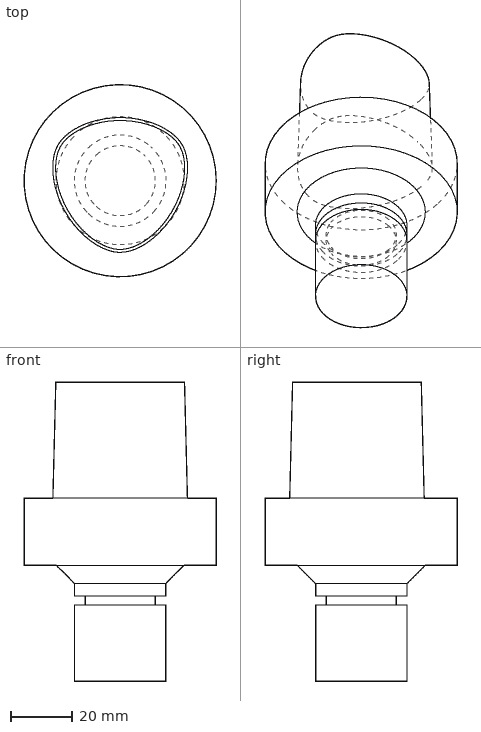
import cadquery as cq
import math

total_length = 98.0
shank_length = 38.0
flange_thickness = 22.0
cone_height = 6.0
collar_height = 4.1
groove_width = 2.9

flange_diameter = 63.0
pin_diameter = 30.0
groove_diameter = 23.0
cone_top_diameter = pin_diameter + 2 * cone_height

gauge_width = 44.0
gauge_height = 3.0
shank_taper = 1 / 20
lobe_rise = 1.4
outline_points = 24

flange_bottom = -flange_thickness
cone_bottom = flange_bottom - cone_height
groove_top = cone_bottom - collar_height
groove_bottom = groove_top - groove_width
pin_bottom = shank_length - total_length


def lobed_point(width, angle):
    """Point of the constant-width outline whose normal is at this angle from -Y, where one lobe lies."""
    normal_distance = width / 2 + lobe_rise * math.cos(3 * angle)
    side_shift = -3 * lobe_rise * math.sin(3 * angle)
    x = normal_distance * math.sin(angle) + side_shift * math.cos(angle)
    y = side_shift * math.sin(angle) - normal_distance * math.cos(angle)
    return cq.Vector(x, y, 0)


def shank_outline(height):
    """Closed outline of the shank at a height above the flange."""
    width = gauge_width - shank_taper * (height - gauge_height)
    angles = [2 * math.pi * i / outline_points for i in range(outline_points)]
    points = [lobed_point(width, angle) for angle in angles]
    curve = cq.Edge.makeSpline(points, periodic=True)
    return cq.Wire.assembleEdges([curve]).translate(cq.Vector(0, 0, height))


def make_coupling():
    """Round flange with the tapered lobed shank on top."""
    flange = cq.Workplane("XY").circle(flange_diameter / 2).extrude(-flange_thickness)
    shank = cq.Solid.makeLoft([shank_outline(0), shank_outline(shank_length)], True)
    return flange.union(cq.Workplane(obj=shank)).solids()


def make_grooved_pin():
    """Turned pin under the flange: conical head, collar, ring groove and plain end."""
    pin_radius = pin_diameter / 2
    groove_radius = groove_diameter / 2
    half_profile = [
        (0, flange_bottom),
        (cone_top_diameter / 2, flange_bottom),
        (pin_radius, cone_bottom),
        (pin_radius, groove_top),
        (groove_radius, groove_top),
        (groove_radius, groove_bottom),
        (pin_radius, groove_bottom),
        (pin_radius, pin_bottom),
        (0, pin_bottom),
    ]
    return cq.Workplane("YZ").polyline(half_profile).close().revolve(360, (0, 0), (0, 1))


coupling = make_coupling()
grooved_pin = make_grooved_pin()

result = cq.Compound.makeCompound([coupling.val(), grooved_pin.val()])